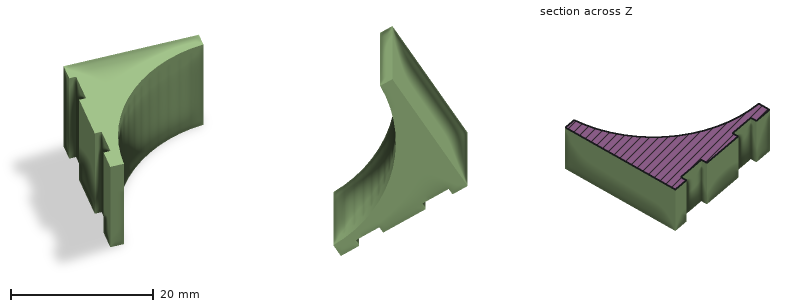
import cadquery as cq

length = 21.0
depth = 20.0
height = 16.0

lip_thickness = 2.02
arc_radius = 19.5

groove_depth = 1.0
groove_spans = [(2.52, 7.0), (14.0, 18.0)]


def concave_block():
    """Corner block with two flat outer faces joined by a concave arc."""
    return (
        cq.Workplane("XY")
        .lineTo(length, 0)
        .lineTo(length, lip_thickness)
        .radiusArc((lip_thickness, depth), arc_radius)
        .lineTo(0, depth)
        .close()
        .extrude(height)
    )


def groove(start, end):
    """Rectangular cutter for one vertical groove."""
    cutter = cq.Workplane("XY").box(end - start, groove_depth, height, centered=False)
    return cutter.translate((start, 0, 0))


result = concave_block()
for groove_start, groove_end in groove_spans:
    result = result.cut(groove(groove_start, groove_end))